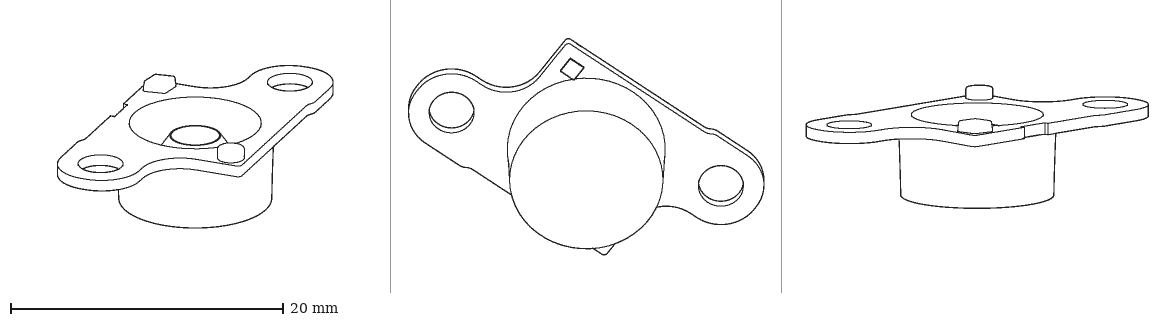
import cadquery as cq
import math

body_size = 12.5
plate_thickness = 0.85
corner_radius = 0.3
ear_inner_x = 0.27
ear_outer_x = 6.55
ear_end_y = 12.85
ear_corner_radius = 3.0
ear_root_radius = 3.0
ear_hole_x = 3.4
ear_hole_y = 9.75
ear_hole_diameter = 3.3
step_length = 1.0
upper_step_y = 6.65
lower_step_y = 6.25
notch_depth = 0.33
notch_width = 2.4

cup_depth = 5.15
cup_top_radius = 5.8
cup_bottom_radius = 5.63
bore_depth = 4.85
bore_top_radius = 4.85
bore_floor_radius = 4.7

cone_top_depth = 1.0
cone_top_radius = 1.87
cone_base_radius = 4.53
cone_hole_top_radius = 1.78
cone_hole_floor_radius = 1.7

boss_radius = 1.05

pin_height = 0.8
pin_offset = 4.95
pin_radius = 1.0
pin_edge_radius = 0.15
diamond_half_length = 1.42
diamond_half_width = 1.07
diamond_corner_radius = 0.2
diamond_edge_radius = 0.19
diamond_draft_angle = 4.0
foot_offset = 4.7
foot_width = 1.25
foot_height = 0.15

half_body = body_size / 2
plate_top = plate_thickness
floor_z = plate_top - bore_depth
cone_top_z = plate_top - cone_top_depth


def half_outline(wire, turn, step_y):
    """Add half of the outline, from one body corner round to the step behind the next ear.

    Each ear joins the body by a round root on one side and an S-shaped step on the other;
    turn is +1 for the upper half and -1 for the lower half, rotated by 180 degrees.
    """
    diagonal = math.sin(math.pi / 4)
    root_center_x = ear_inner_x - ear_root_radius
    root_center_y = half_body + ear_root_radius
    arc_y = ear_end_y - ear_corner_radius
    step_start = step_y + step_length / 2
    step_end = step_y - step_length / 2
    step_x = (ear_outer_x + half_body) / 2

    def place(x, y):
        return (turn * x, turn * y)

    return (
        wire.lineTo(*place(root_center_x, half_body))
        .threePointArc(
            place(root_center_x + ear_root_radius * diagonal, root_center_y - ear_root_radius * diagonal),
            place(ear_inner_x, root_center_y),
        )
        .lineTo(*place(ear_inner_x, arc_y))
        .tangentArcPoint(place(ear_inner_x + ear_corner_radius, ear_end_y), relative=False)
        .lineTo(*place(ear_outer_x - ear_corner_radius, ear_end_y))
        .tangentArcPoint(place(ear_outer_x, arc_y), relative=False)
        .lineTo(*place(ear_outer_x, step_start))
        .tangentArcPoint(place(step_x, step_y), relative=False)
        .tangentArcPoint(place(half_body, step_end), relative=False)
    )


def make_plate():
    wire = cq.Workplane("XY").moveTo(-half_body, half_body)
    wire = half_outline(wire, 1, upper_step_y)
    wire = wire.lineTo(half_body, -half_body)
    wire = half_outline(wire, -1, lower_step_y)
    plate = wire.close().extrude(plate_thickness)
    for side in (1, -1):
        corner_point = (side * half_body, -side * half_body, plate_thickness / 2)
        corner = cq.selectors.NearestToPointSelector(corner_point)
        plate = plate.edges("|Z").edges(corner).fillet(corner_radius)
    holes = (
        cq.Workplane("XY")
        .pushPoints([(ear_hole_x, ear_hole_y), (-ear_hole_x, -ear_hole_y)])
        .circle(ear_hole_diameter / 2)
        .extrude(plate_thickness)
    )
    notch = cq.Workplane("XY").rect(2 * notch_depth, notch_width).extrude(plate_thickness)
    return plate.cut(holes).cut(notch.translate((-half_body, 0, 0)))


def frustum(bottom_z, bottom_radius, top_z, top_radius):
    """Truncated cone about the Z axis."""
    return (
        cq.Workplane("XZ")
        .polyline([(0, bottom_z), (bottom_radius, bottom_z), (top_radius, top_z), (0, top_z)])
        .close()
        .revolve(360, (0, 0), (0, 1))
    )


def make_cup_body():
    return frustum(-cup_depth, cup_bottom_radius, 0, cup_top_radius)


def make_bore():
    return frustum(floor_z, bore_floor_radius, plate_top, bore_top_radius)


def make_cone():
    return frustum(floor_z, cone_base_radius, cone_top_z, cone_top_radius)


def make_cone_hole():
    return frustum(floor_z, cone_hole_floor_radius, cone_top_z, cone_hole_top_radius)


def make_boss():
    start_x = cone_hole_top_radius + boss_radius
    length = (cup_bottom_radius + bore_floor_radius) / 2 - start_x
    return (
        cq.Workplane("YZ", origin=(start_x, 0, floor_z))
        .circle(boss_radius)
        .extrude(length)
        .intersect(frustum(floor_z, cup_bottom_radius, plate_top, cup_bottom_radius))
    )


def make_round_pin():
    pin = cq.Workplane("XY").circle(pin_radius).extrude(pin_height)
    return pin.faces(">Z").edges().fillet(pin_edge_radius).translate((pin_offset, -pin_offset, plate_top))


def make_diamond_pin():
    pin = (
        cq.Workplane("XY")
        .polyline(
            [
                (diamond_half_length, 0),
                (0, diamond_half_width),
                (-diamond_half_length, 0),
                (0, -diamond_half_width),
            ]
        )
        .close()
        .extrude(pin_height, taper=diamond_draft_angle)
        .edges("not #Z")
        .fillet(diamond_corner_radius)
        .faces(">Z")
        .edges()
        .fillet(diamond_edge_radius)
    )
    return pin.rotate((0, 0, 0), (0, 0, 1), 45).translate((-pin_offset, pin_offset, plate_top))


def make_foot():
    foot = cq.Workplane("XY").rect(foot_width, foot_width).extrude(-foot_height)
    return foot.translate((foot_offset, -foot_offset, 0))


result = make_plate().union(make_cup_body()).cut(make_bore())
result = result.union(make_cone()).union(make_boss()).cut(make_cone_hole())
result = result.union(make_round_pin()).union(make_diamond_pin()).union(make_foot())